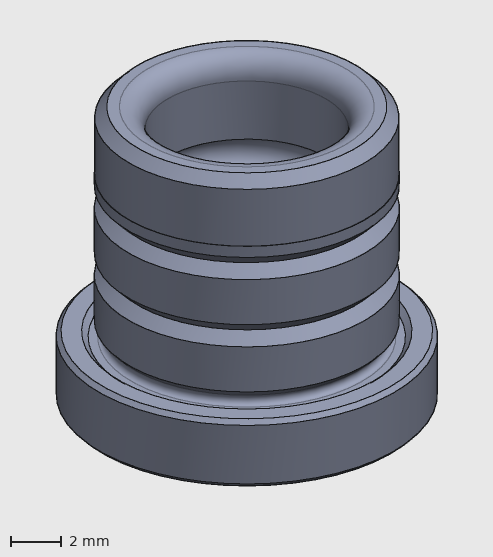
import cadquery as cq
import math

flange_radius = 7.5
flange_height = 3.0
flange_chamfer = 0.2
body_radius = 6.0
head_radius = 5.98
total_height = 13.0
bevel = 0.5
rib_spacing = 3.0
rib_count = 2
head_band_height = 0.5
bore_radius = 4.0
mouth_fillet = 1.0

ring_groove_radius = 0.75
ring_groove_z = 8.65

undercut_depth = 0.25
undercut_outer_radius = 6.5
undercut_fillet = 0.25

neck_radius = body_radius - bevel
head_bottom = flange_height + rib_count * rib_spacing
undercut_floor = flange_height - undercut_depth
undercut_floor_radius = undercut_outer_radius - undercut_depth

fillet_rise = undercut_fillet * math.sin(math.radians(45))
fillet_center_z = undercut_floor + undercut_fillet
fillet_center_radius = (
    neck_radius + fillet_center_z - flange_height + undercut_fillet * math.sqrt(2)
)


def flange_and_neck(profile):
    """Outline from the bottom face up to the foot of the first rib."""
    return (
        profile
        .lineTo(flange_radius - flange_chamfer, 0)
        .lineTo(flange_radius, flange_chamfer)
        .lineTo(flange_radius, flange_height - flange_chamfer)
        .lineTo(flange_radius - flange_chamfer, flange_height)
        .lineTo(undercut_outer_radius, flange_height)
        .lineTo(undercut_floor_radius, undercut_floor)
        .lineTo(fillet_center_radius, undercut_floor)
        .threePointArc(
            (fillet_center_radius - undercut_fillet, fillet_center_z),
            (fillet_center_radius - fillet_rise, fillet_center_z + fillet_rise),
        )
    )


def ribs(profile):
    """Equal ribs separated by V grooves."""
    for index in range(rib_count):
        bottom = flange_height + index * rib_spacing
        top = bottom + rib_spacing
        profile = (
            profile
            .lineTo(body_radius, bottom + bevel)
            .lineTo(body_radius, top - bevel)
            .lineTo(neck_radius, top)
        )
    return profile


def head(profile):
    """Top land with a tiny step above its foot, chamfered rim and rounded mouth."""
    band_bottom = head_bottom + bevel
    band_top = band_bottom + head_band_height
    return (
        profile
        .lineTo(body_radius, band_bottom)
        .lineTo(body_radius, band_top)
        .lineTo(head_radius, band_top)
        .lineTo(head_radius, total_height - (head_radius - neck_radius))
        .lineTo(neck_radius, total_height)
        .lineTo(bore_radius + mouth_fillet, total_height)
        .radiusArc((bore_radius, total_height - mouth_fillet), -mouth_fillet)
    )


def bore(profile):
    """Bore wall with a half-round groove, running down to the bottom face."""
    return (
        profile
        .lineTo(bore_radius, ring_groove_z + ring_groove_radius)
        .threePointArc(
            (bore_radius + ring_groove_radius, ring_groove_z),
            (bore_radius, ring_groove_z - ring_groove_radius),
        )
        .lineTo(bore_radius, 0)
        .close()
    )


outline = cq.Workplane("XZ").moveTo(bore_radius, 0)
for add_section in (flange_and_neck, ribs, head, bore):
    outline = add_section(outline)

result = outline.revolve(360, (0, 0, 0), (0, 1, 0))